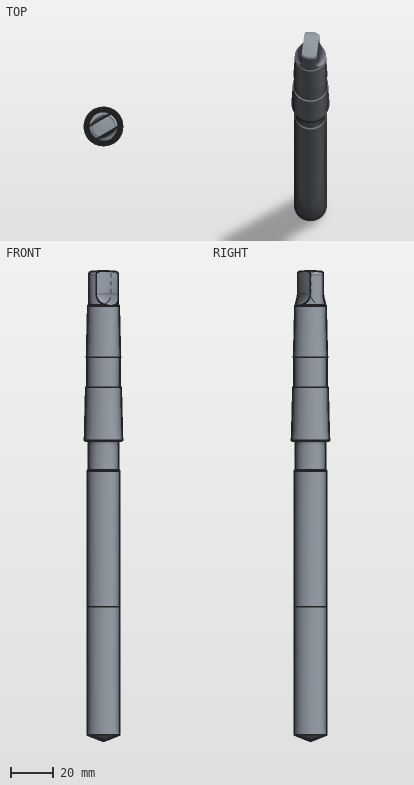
import cadquery as cq
import math

total_length = 222.2
point_height = 3.1
cutting_top = 63.5
neck_bottom = 128.2
neck_top = 141.5
relief_bottom = 167.1
relief_top = 181.4
taper_top = 205.4

body_diameter = 15.5
neck_diameter = 14.5
taper_large_diameter = 18.0
taper_small_diameter = 15.0
relief_diameter = 15.8
tang_diameter = 14.0

edge_chamfer = 0.7
tang_top_round = 1.5
tang_cone_height = 0.5

tang_thickness = 7.1
tang_angle = 30.0
flat_bottom = 211.4
runout_radius = 6.2

body_radius = body_diameter / 2
neck_radius = neck_diameter / 2
relief_radius = relief_diameter / 2
tang_radius = tang_diameter / 2
taper_bottom = neck_top + edge_chamfer
tang_rim = total_length - tang_cone_height


def taper_radius(height):
    """Radius of the conical shank at a given height."""
    fraction = (height - taper_bottom) / (taper_top - taper_bottom)
    diameter = taper_large_diameter + fraction * (taper_small_diameter - taper_large_diameter)
    return diameter / 2


def make_cutting_part():
    """Plain cylinder ending in a conical drill point."""
    return (
        cq.Workplane("XZ")
        .lineTo(body_radius, point_height)
        .lineTo(body_radius, cutting_top)
        .lineTo(0, cutting_top)
        .close()
        .revolve(360, (0, 0), (0, 1))
    )


def make_shank_blank():
    """Turned shank: body, neck, interrupted taper and round tang."""
    round_offset = tang_top_round * math.sqrt(0.5)
    return (
        cq.Workplane("XZ")
        .moveTo(0, cutting_top)
        .lineTo(body_radius, cutting_top)
        .lineTo(body_radius, neck_bottom - edge_chamfer)
        .lineTo(body_radius - edge_chamfer, neck_bottom)
        .lineTo(neck_radius, neck_bottom)
        .lineTo(neck_radius, neck_top)
        .lineTo(taper_radius(taper_bottom) - edge_chamfer, neck_top)
        .lineTo(taper_radius(taper_bottom), taper_bottom)
        .lineTo(taper_radius(relief_bottom), relief_bottom)
        .lineTo(relief_radius, relief_bottom)
        .lineTo(relief_radius, relief_top)
        .lineTo(taper_radius(relief_top), relief_top)
        .lineTo(taper_radius(taper_top), taper_top)
        .lineTo(tang_radius, taper_top + edge_chamfer)
        .lineTo(tang_radius, tang_rim - tang_top_round)
        .threePointArc(
            (tang_radius - tang_top_round + round_offset, tang_rim - tang_top_round + round_offset),
            (tang_radius - tang_top_round, tang_rim),
        )
        .lineTo(0, total_length)
        .close()
        .revolve(360, (0, 0), (0, 1))
    )


def make_flat_cutter(side):
    """Material removed beside one tang flat; side is +1 or -1 across the tang."""
    flat = side * tang_thickness / 2
    arc_center = flat + side * runout_radius
    arc_offset = runout_radius * math.sqrt(0.5)
    return (
        cq.Workplane("YZ")
        .moveTo(flat, total_length)
        .lineTo(flat, flat_bottom)
        .threePointArc(
            (arc_center - side * arc_offset, flat_bottom - arc_offset),
            (arc_center, flat_bottom - runout_radius),
        )
        .lineTo(arc_center, total_length)
        .close()
        .extrude(tang_diameter, both=True)
        .rotate((0, 0, 0), (0, 0, 1), tang_angle)
    )


def make_shank():
    """Shank with both tang flats milled."""
    shank = make_shank_blank()
    for side in (-1, 1):
        shank = shank.cut(make_flat_cutter(side))
    return shank


cutting_part = make_cutting_part()
shank = make_shank()
result = cq.Compound.makeCompound([cutting_part.val(), *shank.vals()])